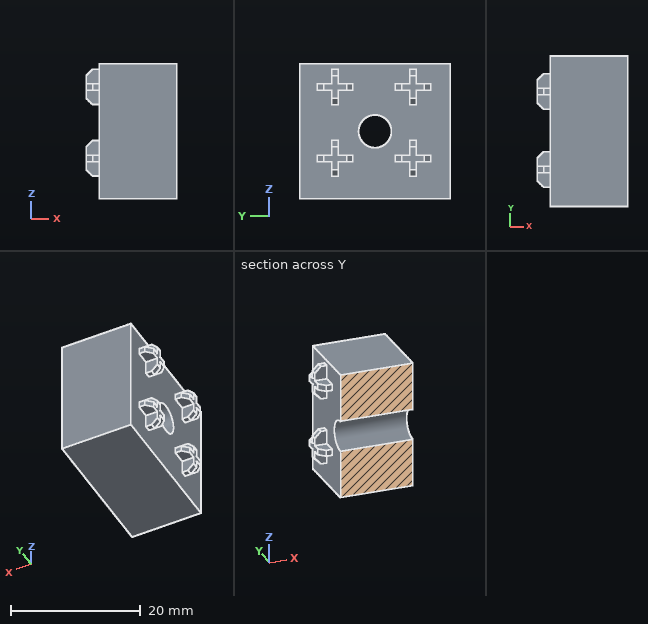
import cadquery as cq

block_depth = 12.0
block_width = 23.2
block_height = 20.8
bore_diameter = 5.0

stud_height = 2.0
stud_span = 5.5
arm_thickness = 1.0
tip_chamfer = stud_height / 2

stud_pitch_y = 12.0
stud_pitch_z = 11.0
pattern_center_y = 0.15
pattern_center_z = 1.35


def make_block():
    """Plain block with a bore through its centre along X."""
    return (
        cq.Workplane("YZ")
        .rect(block_width, block_height)
        .extrude(block_depth)
        .faces("<X")
        .workplane(origin=(0, 0, 0))
        .hole(bore_diameter)
    )


def make_stud():
    """Cross of two crossing ribs, each with chamfered outer corners."""
    half_span = stud_span / 2
    tip_half_span = half_span - tip_chamfer
    rib = (
        cq.Workplane("XY")
        .moveTo(0, -half_span)
        .lineTo(tip_chamfer - stud_height, -half_span)
        .lineTo(-stud_height, -tip_half_span)
        .lineTo(-stud_height, tip_half_span)
        .lineTo(tip_chamfer - stud_height, half_span)
        .lineTo(0, half_span)
        .close()
        .extrude(arm_thickness / 2, both=True)
    )
    return rib.union(rib.rotate((0, 0, 0), (1, 0, 0), 90))


result = make_block()
stud = make_stud()
for side_y in (-1, 1):
    for side_z in (-1, 1):
        stud_y = pattern_center_y + side_y * stud_pitch_y / 2
        stud_z = pattern_center_z + side_z * stud_pitch_z / 2
        result = result.union(stud.translate((0, stud_y, stud_z)))